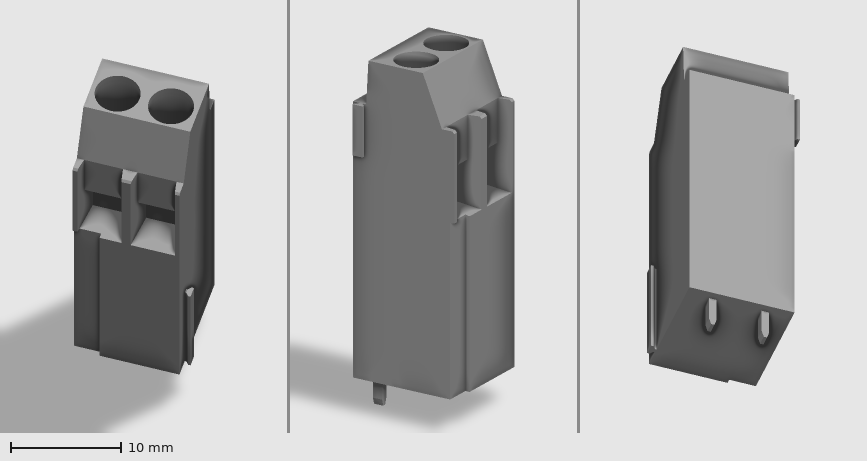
import cadquery as cq


pole_pitch = 5.08
pole_count = 2
width = pole_count * pole_pitch
depth = 10.95
height = 31.15
shelf_height = 26.85
rear_shelf_y = 9.5
rear_top_y = 9.25
front_top_y = 3.4
front_shelf_y = 1.35
front_shelf_height = 26.1
rim_chamfer = 0.2

entry_width = 4.2
entry_floor = 17.08
entry_depth = 3.05
entry_taper = 0.55
upper_entry_floor = 21.78
roof_drop = 0.27

recess_width = 2.57
recess_depth = 0.45
recess_height = 17.2

screw_diameter = 4.2
screw_y = 5.73
screw_depth = 6.85

rail_reach = 0.65
rail_width = 1.05
rail_neck_width = 0.4
rail_neck_length = 0.17
rail_plate_thickness = 0.25
left_rail_y = 10.0
left_rail_length = 4.97
right_rail_y = 1.85
right_rail_length = 9.95

pin_length = 3.15
pin_width = 0.72
pin_thickness = 1.0
pin_y = 9.67
pin_taper_length = 0.65
pin_tip_width = 0.3

pole_centers = [(i - (pole_count - 1) / 2) * pole_pitch for i in range(pole_count)]


def make_block():
    """Side profile extruded across the full width."""
    profile = [
        (0, 0),
        (depth, 0),
        (depth, shelf_height),
        (rear_shelf_y, shelf_height),
        (rear_top_y, height),
        (front_top_y, height),
        (front_shelf_y, front_shelf_height),
        (rim_chamfer, front_shelf_height),
        (0, front_shelf_height - rim_chamfer),
    ]
    return cq.Workplane("YZ").polyline(profile).close().extrude(width / 2, both=True)


def make_entry(x):
    """Tapered pocket, open at the top as far as the sloped front, then roofed."""
    def inset(y):
        return entry_taper * y / entry_depth

    def tapered(y_start, y_end, top_start, top_end):
        sections = []
        for y, top in ((y_start, top_start), (y_end, top_end)):
            half = entry_width / 2 - inset(y)
            floor = entry_floor + inset(y)
            corners = [(x - half, y, floor), (x + half, y, floor), (x + half, y, top), (x - half, y, top)]
            sections.append(cq.Wire.makePolygon([cq.Vector(*c) for c in corners], close=True))
        return cq.Solid.makeLoft(sections, True)

    outer = tapered(0, front_shelf_y, front_shelf_height, front_shelf_height)
    inner = tapered(front_shelf_y, entry_depth, upper_entry_floor, upper_entry_floor - roof_drop)
    return outer.fuse(inner)


def make_recess():
    """Shallow step in the lower left of the front face."""
    return cq.Workplane("XY").box(
        recess_width, recess_depth, recess_height, centered=False
    ).translate((-width / 2, 0, 0))


def make_screw_shaft(x):
    return (
        cq.Workplane("XY", origin=(x, screw_y, height - screw_depth))
        .circle(screw_diameter / 2)
        .extrude(screw_depth)
    )


def make_rail(side, y, bottom, length):
    """Dovetail rail; side is -1 for the left face and +1 for the right face."""
    wall = side * width / 2
    neck_end = wall + side * rail_neck_length
    plate_start = wall + side * (rail_reach - rail_plate_thickness)
    plate_end = wall + side * rail_reach
    neck = rail_neck_width / 2
    plate = rail_width / 2
    outline = [
        (wall, y - neck),
        (neck_end, y - neck),
        (plate_start, y - plate),
        (plate_end, y - plate),
        (plate_end, y + plate),
        (plate_start, y + plate),
        (neck_end, y + neck),
        (wall, y + neck),
    ]
    return cq.Workplane("XY", origin=(0, 0, bottom)).polyline(outline).close().extrude(length)


def make_housing():
    housing = make_block().cut(make_recess())
    for x in pole_centers:
        housing = housing.cut(cq.Workplane(make_entry(x)))
        housing = housing.cut(make_screw_shaft(x))
    housing = housing.union(make_rail(-1, left_rail_y, shelf_height - left_rail_length, left_rail_length))
    return housing.union(make_rail(1, right_rail_y, 0, right_rail_length))


def make_pin(x):
    """Flat pin standing below the housing, narrowed at its tip."""
    half = pin_width / 2
    tip = pin_tip_width / 2
    taper_start = pin_taper_length - pin_length
    outline = [
        (x - half, 0),
        (x + half, 0),
        (x + half, taper_start),
        (x + tip, -pin_length),
        (x - tip, -pin_length),
        (x - half, taper_start),
    ]
    return (
        cq.Workplane("XZ", origin=(0, pin_y, 0))
        .polyline(outline)
        .close()
        .extrude(pin_thickness / 2, both=True)
    )


housing = make_housing()
pins = [make_pin(x) for x in pole_centers]

result = cq.Compound.makeCompound([housing.val(), *[pin.val() for pin in pins]])